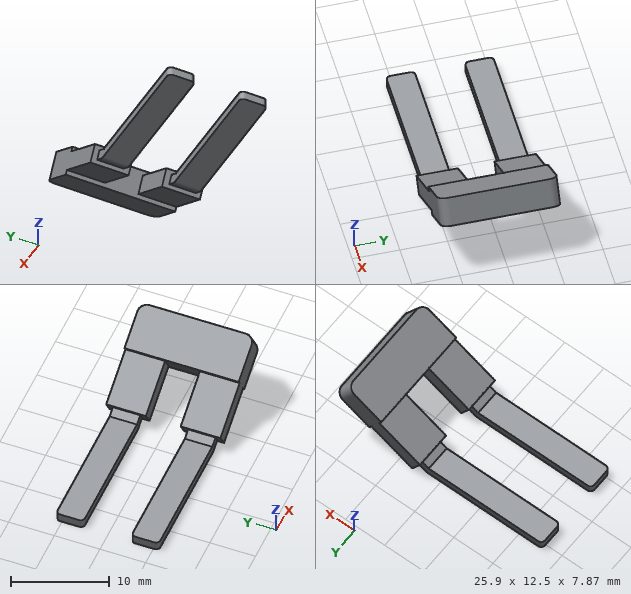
import cadquery as cq
import math

total_length = 25.9
total_width = 12.5

tilt = 30.0
head_length = 5.0
head_thickness = 3.0
head_corner_radius = 1.0
arm_length = 6.0
arm_thickness = 2.0
arm_width = 4.35

tongue_thickness = 1.0
tongue_width = 3.0
tongue_pitch = 8.23
tongue_corner_radius = 0.5
neck_length = 1.0

cos_tilt = math.cos(math.radians(tilt))
sin_tilt = math.sin(math.radians(tilt))

slope_length = neck_length + arm_length + head_length
head_drop = (tongue_thickness + head_thickness) / 2
bend_x = total_length - slope_length * cos_tilt - head_drop * sin_tilt

arm_y = (total_width - arm_width) / 2
tongue_y = tongue_pitch / 2


def slope_point(along, above):
    """XZ position on the slope, measured from the inner bend edge."""
    return (
        bend_x + along * cos_tilt - above * sin_tilt,
        tongue_thickness + along * sin_tilt + above * cos_tilt,
    )


def sloped_block(start, length, width, thickness, center_y):
    """Block centred on the middle plane of the sloping metal."""
    center_x, center_z = slope_point(start + length / 2, -tongue_thickness / 2)
    plane = cq.Plane(
        origin=(center_x, center_y, center_z),
        xDir=(cos_tilt, 0, sin_tilt),
        normal=(-sin_tilt, 0, cos_tilt),
    )
    return cq.Workplane(plane).box(length, width, thickness)


def make_tongue(center_y):
    """Flat strip, sharp inside and round outside the bend, with a rounded tip."""
    half_tilt = math.radians(tilt / 2)
    arc_middle = (
        bend_x + tongue_thickness * math.sin(half_tilt),
        tongue_thickness * (1 - math.cos(half_tilt)),
    )
    tongue = (
        cq.Workplane("XZ", origin=(0, center_y, 0))
        .lineTo(bend_x, 0)
        .threePointArc(arc_middle, slope_point(0, -tongue_thickness))
        .lineTo(*slope_point(neck_length, -tongue_thickness))
        .lineTo(*slope_point(neck_length, 0))
        .lineTo(bend_x, tongue_thickness)
        .lineTo(0, tongue_thickness)
        .close()
        .extrude(tongue_width / 2, both=True)
    )
    return tongue.edges("|Z and <X").fillet(tongue_corner_radius)


head = sloped_block(neck_length + arm_length, head_length, total_width, head_thickness, 0)
head = head.faces(cq.selectors.DirectionMinMaxSelector(cq.Vector(cos_tilt, 0, sin_tilt)))
head = head.edges("not |Y").fillet(head_corner_radius)

result = head
for side in (-1, 1):
    arm = sloped_block(neck_length, arm_length, arm_width, arm_thickness, side * arm_y)
    result = result.union(arm).union(make_tongue(side * tongue_y))